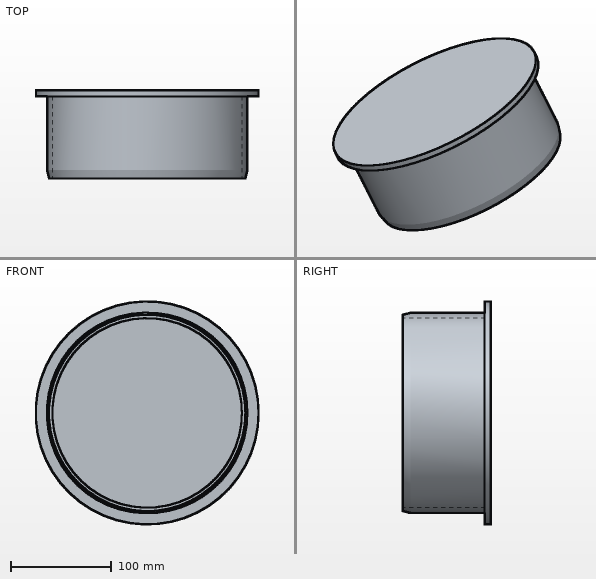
import cadquery as cq

flange_diameter = 222.5
flange_thickness = 6.2
overall_depth = 88.0
spigot_diameter = 200.0
bore_diameter = 189.0
lead_in_length = 8.2
rim_diameter = 195.8
root_fillet_radius = 0.5

flange_radius = flange_diameter / 2
spigot_radius = spigot_diameter / 2
bore_radius = bore_diameter / 2
rim_radius = rim_diameter / 2
rim_y = -overall_depth / 2
back_y = overall_depth / 2
flange_front_y = back_y - flange_thickness
root_fillet_end_y = flange_front_y - root_fillet_radius
lead_in_end_y = rim_y + lead_in_length

half_section = (
    cq.Workplane("XY")
    .moveTo(0, back_y)
    .lineTo(flange_radius, back_y)
    .lineTo(flange_radius, flange_front_y)
    .lineTo(spigot_radius + root_fillet_radius, flange_front_y)
    .radiusArc((spigot_radius, root_fillet_end_y), -root_fillet_radius)
    .lineTo(spigot_radius, lead_in_end_y)
    .lineTo(rim_radius, rim_y)
    .lineTo(bore_radius, rim_y)
    .lineTo(bore_radius, root_fillet_end_y)
    .radiusArc((bore_radius - root_fillet_radius, flange_front_y), -root_fillet_radius)
    .lineTo(0, flange_front_y)
    .close()
)

result = half_section.revolve(360, (0, 0, 0), (0, 1, 0))